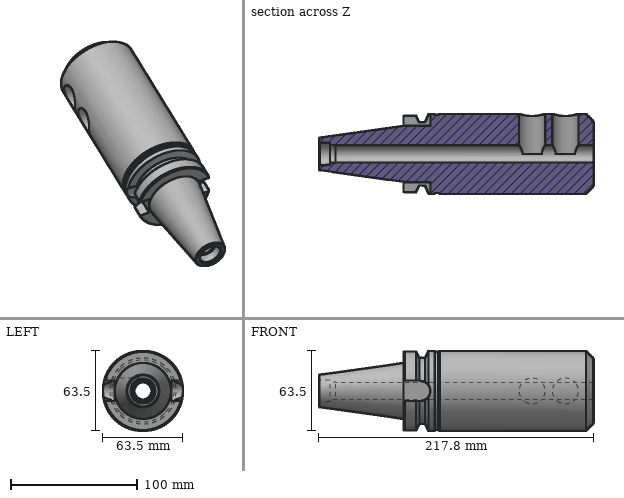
import cadquery as cq

LENGTH = 217.8
BODY_DIA = 63.5

TAPER_SMALL_DIA = 26.0
TAPER_LARGE_DIA = 44.0
TAPER_LENGTH = 65.0
TAPER_EDGE_CHAMFER = 0.7
COLLAR_DIA = 44.5
COLLAR_SLOPE = 1.0

FLANGE_START = 66.9
FLANGE_DIA = 63.0
FLANGE_EDGE_LENGTH = 1.3
FLANGE_EDGE_DEPTH = 0.5
GROOVE_DIA = 52.7
GROOVE_START = 76.9
GROOVE_FLOOR_START = 79.5
GROOVE_FLOOR_END = 84.0
GROOVE_END = 86.7

RELIEF_DIA = 62.0
RELIEF_START = 91.5
RELIEF_END = 94.3
RELIEF_SLOPE = 0.5
BODY_EDGE_LENGTH = 1.5

NOSE_CHAMFER = 6.3
NOSE_EDGE_LENGTH = 0.7
NOSE_FACE_DIA = 49.2

SLOT_WIDTH = 16.1
SLOT_END = 88.2
SLOT_FLOOR = 22.5

THROUGH_DIA = 13.5
THREAD_DIA = 14.0
PILOT_DIA = 17.0
MOUTH_DIA = 19.5
PILOT_DEPTH = 8.7
THREAD_DEPTH = 13.0
GUIDE_DIA = 17.6
MOUTH_CHAMFER = (MOUTH_DIA - GUIDE_DIA) / 2
GUIDE_DEPTH = 5.5
GUIDE_SLOPE = 1.3

SCREW_DIA = 20.5
SCREW_PITCH = 26.4
LAST_SCREW_FROM_END = 22.7


def revolve_steps(steps):
    """Revolve (x, diameter) steps, given from X = 0 to the far end, around the X axis."""
    outline = [(x, diameter / 2) for x, diameter in steps]
    profile = cq.Workplane("XY").polyline([(0, 0)] + outline + [(LENGTH, 0)]).close()
    return profile.revolve(360, (0, 0, 0), (1, 0, 0))


def make_outside():
    """Revolve the outer outline of the holder around X."""
    steps = [
        (0, TAPER_SMALL_DIA - 2 * TAPER_EDGE_CHAMFER),
        (TAPER_EDGE_CHAMFER, TAPER_SMALL_DIA),
        (TAPER_LENGTH, TAPER_LARGE_DIA),
        (TAPER_LENGTH + COLLAR_SLOPE, COLLAR_DIA),
        (FLANGE_START, COLLAR_DIA),
        (FLANGE_START, FLANGE_DIA - 2 * FLANGE_EDGE_DEPTH),
        (FLANGE_START + FLANGE_EDGE_LENGTH, FLANGE_DIA),
        (GROOVE_START, FLANGE_DIA),
        (GROOVE_FLOOR_START, GROOVE_DIA),
        (GROOVE_FLOOR_END, GROOVE_DIA),
        (GROOVE_END, BODY_DIA),
        (RELIEF_START, BODY_DIA),
        (RELIEF_START + RELIEF_SLOPE, RELIEF_DIA),
        (RELIEF_END, RELIEF_DIA),
        (RELIEF_END + BODY_EDGE_LENGTH, BODY_DIA),
        (LENGTH - NOSE_CHAMFER, BODY_DIA),
        (LENGTH - NOSE_EDGE_LENGTH, BODY_DIA - 2 * (NOSE_CHAMFER - NOSE_EDGE_LENGTH)),
        (LENGTH, NOSE_FACE_DIA),
    ]
    return revolve_steps(steps)


def make_bore():
    """Revolve the stepped bore: chamfered mouth, guide, pilot, thread-size step, through hole."""
    steps = [
        (0, MOUTH_DIA),
        (MOUTH_CHAMFER, GUIDE_DIA),
        (GUIDE_DEPTH, GUIDE_DIA),
        (GUIDE_DEPTH + GUIDE_SLOPE, PILOT_DIA),
        (PILOT_DEPTH, PILOT_DIA),
        (PILOT_DEPTH, THREAD_DIA),
        (THREAD_DEPTH, THREAD_DIA),
        (THREAD_DEPTH, THROUGH_DIA),
        (LENGTH, THROUGH_DIA),
    ]
    return revolve_steps(steps)


def make_drive_slot(side):
    """Round-ended slot open toward -X; side is +1 for +Y and -1 for -Y."""
    radius = SLOT_WIDTH / 2
    arc_start = SLOT_END - radius
    return (
        cq.Workplane("XZ", origin=(0, side * SLOT_FLOOR, 0))
        .moveTo(FLANGE_START, -radius)
        .lineTo(arc_start, -radius)
        .threePointArc((SLOT_END, 0), (arc_start, radius))
        .lineTo(FLANGE_START, radius)
        .close()
        .extrude(-side * BODY_DIA)
    )


def make_screw_hole(x):
    """Radial hole from the axis out through the +Y side."""
    return cq.Workplane("XZ", origin=(x, 0, 0)).circle(SCREW_DIA / 2).extrude(-BODY_DIA)


result = make_outside().cut(make_bore())
for side in (1, -1):
    result = result.cut(make_drive_slot(side))
for index in range(2):
    result = result.cut(make_screw_hole(LENGTH - LAST_SCREW_FROM_END - index * SCREW_PITCH))